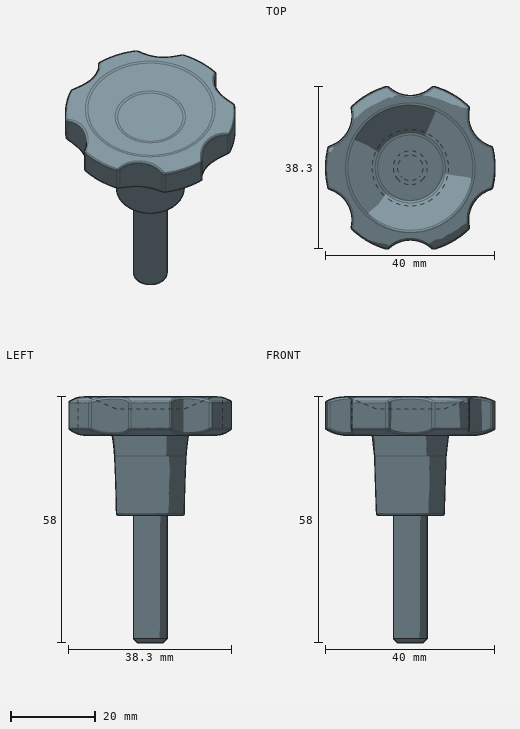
import cadquery as cq
import math

total_length = 58.0
grip_radius = 20.0
grip_thickness = 9.15
hub_bottom_depth = 28.0

dome_radius = 10.0
lip_radius = 15.3
bottom_dome_start_radius = 14.7
dish_floor_radius = 7.7
dish_wall_slope = math.radians(22.5)
dish_fillet = 1.5

notch_count = 6
notch_radius = 7.5
notch_floor_radius = 17.05
first_notch_angle = 90.0
notch_tip_fillet = 0.85

hub_top_radius = 9.0
hub_flare_length = 4.85
hub_waist_radius = 8.45
hub_bottom_radius = 8.0

stud_diameter = 8.0
stud_chamfer = 1.0

edge_fillet = 0.5


def dome_arc(start_radius):
    """Drop at the rim of a dome that starts level, and the (radius, drop) of its arc midpoint."""
    run = grip_radius - start_radius
    angle = math.asin(run / dome_radius)
    drop = dome_radius * (1 - math.cos(angle))
    mid_radius = start_radius + dome_radius * math.sin(angle / 2)
    mid_drop = dome_radius * (1 - math.cos(angle / 2))
    return drop, mid_radius, mid_drop


def dish_corner(angle):
    """Sideways and vertical travel along a dish fillet after turning through an angle from level."""
    return dish_fillet * math.sin(angle), dish_fillet * (1 - math.cos(angle))


def make_grip_blank():
    """Revolved grip without notches."""
    top_drop, top_mid_radius, top_mid_drop = dome_arc(lip_radius)
    bottom_drop, bottom_mid_radius, bottom_mid_drop = dome_arc(bottom_dome_start_radius)

    mid_run, mid_rise = dish_corner(dish_wall_slope / 2)
    end_run, end_rise = dish_corner(dish_wall_slope)
    wall_run = lip_radius - dish_floor_radius - 2 * end_run
    dish_floor_z = -2 * end_rise - wall_run * math.tan(dish_wall_slope)

    profile = (
        cq.Workplane("XZ")
        .moveTo(0, -grip_thickness)
        .lineTo(bottom_dome_start_radius, -grip_thickness)
        .threePointArc(
            (bottom_mid_radius, -grip_thickness + bottom_mid_drop),
            (grip_radius, -grip_thickness + bottom_drop),
        )
        .lineTo(grip_radius, -top_drop)
        .threePointArc((top_mid_radius, -top_mid_drop), (lip_radius, 0))
        .threePointArc((lip_radius - mid_run, -mid_rise), (lip_radius - end_run, -end_rise))
        .lineTo(dish_floor_radius + end_run, dish_floor_z + end_rise)
        .threePointArc(
            (dish_floor_radius + mid_run, dish_floor_z + mid_rise),
            (dish_floor_radius, dish_floor_z),
        )
        .lineTo(0, dish_floor_z)
        .close()
    )
    return profile.revolve(360, (0, 0, 0), (0, 1, 0))


def cut_notches(grip):
    """Cut the round finger notches evenly around the rim."""
    notches = (
        cq.Workplane("XY")
        .polarArray(notch_floor_radius + notch_radius, first_notch_angle, 360, notch_count)
        .circle(notch_radius)
        .extrude(-grip_thickness)
    )
    return grip.cut(notches)


def round_rim(grip):
    """Round the upright notch tips, then soften the upper and lower edges of the rim."""
    grip = grip.edges("|Z").fillet(notch_tip_fillet)
    return grip.faces("%CYLINDER").edges("not |Z").fillet(edge_fillet)


def make_hub():
    """Two-stage tapered hub with a rounded lower edge."""
    waist_z = -grip_thickness - hub_flare_length
    hub = (
        cq.Workplane("XZ")
        .moveTo(0, -hub_bottom_depth)
        .lineTo(hub_bottom_radius, -hub_bottom_depth)
        .lineTo(hub_waist_radius, waist_z)
        .lineTo(hub_top_radius, -grip_thickness)
        .lineTo(0, -grip_thickness)
        .close()
        .revolve(360, (0, 0, 0), (0, 1, 0))
    )
    return hub.faces("<Z").edges().fillet(edge_fillet)


def make_stud():
    """Plain stud with a chamfered tip."""
    stud = (
        cq.Workplane("XY", origin=(0, 0, -hub_bottom_depth))
        .circle(stud_diameter / 2)
        .extrude(hub_bottom_depth - total_length)
    )
    return stud.faces("<Z").chamfer(stud_chamfer)


grip = round_rim(cut_notches(make_grip_blank()))
result = grip.union(make_hub()).union(make_stud())